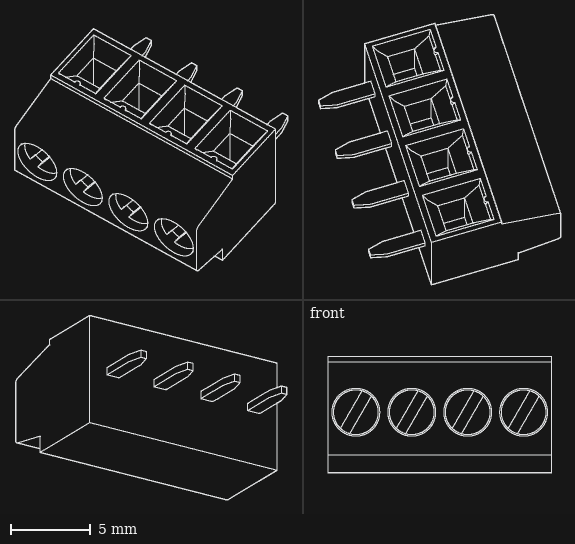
import cadquery as cq
import math


pole_count = 4
body_length = 14.0
pole_pitch = body_length / pole_count
pole_positions = [(i - (pole_count - 1) / 2) * pole_pitch for i in range(pole_count)]

body_depth = 8.5
body_height = 7.3
top_depth = 4.62
top_step = 0.35
top_slope = 15.0
base_depth = 5.71
base_step = 1.1
base_slope = 10.0
nose_radius = 0.3

axis_height = 3.8

mouth_width = 2.88
mouth_length = 3.8
lip_depth = 0.45
funnel_depth = 1.06
wire_hole = 1.76
wire_hole_back = 0.83
lip_inset_back = 0.27
lip_inset_front = 0.15
rib_radius = 0.2

screw_bore_diameter = 3.0
screw_head_diameter = 2.8
head_setback = 0.6
slot_width = 0.67
slot_depth = 0.5
head_height = 0.7
slot_tilt = 30.0

pin_width = 0.9
pin_thickness = 0.49
pin_length = 3.5
pin_tip_width = 0.4
pin_taper = 1.0

mouth_back = -(top_depth - mouth_length) / 2
mouth_front = mouth_back - mouth_length
wire_hole_rear = mouth_back - wire_hole_back
wire_hole_front = wire_hole_rear - wire_hole
wire_floor = axis_height - wire_hole / 2


def make_housing():
    """Side profile extruded along the row, with rounded front corners."""
    nose_top = body_height - top_step - (body_depth - top_depth) * math.tan(math.radians(top_slope))
    nose_bottom = base_step + (body_depth - base_depth) * math.tan(math.radians(base_slope))
    profile = [
        (0, 0),
        (0, body_height),
        (-top_depth, body_height),
        (-top_depth, body_height - top_step),
        (-body_depth, nose_top),
        (-body_depth, nose_bottom),
        (-base_depth, base_step),
        (-base_depth, 0),
    ]
    housing = cq.Workplane("YZ").polyline(profile).close().extrude(body_length)
    housing = housing.translate((-body_length / 2, 0, 0))
    return housing.faces("<Y").edges("|X").fillet(nose_radius)


def tapered_well(width_top, back_top, front_top, z_top, width_low, back_low, front_low, z_low):
    """Four-sided well between two horizontal rectangles centred on X = 0."""
    return (
        cq.Workplane("XY", origin=(0, (back_low + front_low) / 2, z_low))
        .rect(width_low, back_low - front_low)
        .workplane(offset=z_top - z_low)
        .center(0, (back_top + front_top - back_low - front_low) / 2)
        .rect(width_top, back_top - front_top)
        .loft(ruled=True)
    )


def make_wire_entry():
    """Two-stage funnel narrowing to a square hole, with a half-round rib on its front wall."""
    lip_z = body_height - lip_depth
    funnel_z = body_height - funnel_depth
    lip_width = mouth_width - (mouth_width - wire_hole) * lip_depth / funnel_depth
    lip_back = mouth_back - lip_inset_back
    lip_front = mouth_front + lip_inset_front
    lip = tapered_well(
        mouth_width, mouth_back, mouth_front, body_height, lip_width, lip_back, lip_front, lip_z
    )
    funnel = tapered_well(
        lip_width, lip_back, lip_front, lip_z, wire_hole, wire_hole_rear, wire_hole_front, funnel_z
    )
    hole = cq.Workplane("XY").box(wire_hole, wire_hole, funnel_z - wire_floor, centered=(True, False, False))
    hole = hole.translate((0, wire_hole_front, wire_floor))
    rib = cq.Workplane("XY", origin=(0, mouth_front, funnel_z)).circle(rib_radius).extrude(funnel_depth)
    return lip.union(funnel).cut(rib).union(hole)


def make_screw_recess():
    """Round recess with the slotted screw head standing inside it, clear of the wall."""
    recess_plane = cq.Workplane("XZ", origin=(0, -body_depth, axis_height))
    recess = recess_plane.circle(screw_bore_diameter / 2).extrude(-(head_setback + head_height))
    head_plane = recess_plane.workplane(offset=-head_setback)
    head = head_plane.circle(screw_head_diameter / 2).extrude(-head_height)
    slot = head_plane.rect(slot_width, screw_head_diameter).extrude(-slot_depth)
    slot = slot.rotate((0, 0, axis_height), (0, 1, axis_height), slot_tilt)
    return recess.cut(head.cut(slot))


def make_pin():
    """Flat pin tapering to a blunt tip."""
    outline = [
        (-pin_width / 2, 0),
        (-pin_width / 2, pin_length - pin_taper),
        (-pin_tip_width / 2, pin_length),
        (pin_tip_width / 2, pin_length),
        (pin_width / 2, pin_length - pin_taper),
        (pin_width / 2, 0),
    ]
    pin_bottom = axis_height - pin_thickness / 2
    return cq.Workplane("XY", origin=(0, 0, pin_bottom)).polyline(outline).close().extrude(pin_thickness)


result = make_housing()
wire_entry = make_wire_entry()
screw_recess = make_screw_recess()
pin = make_pin()
for x in pole_positions:
    result = result.cut(wire_entry.translate((x, 0, 0)))
    result = result.cut(screw_recess.translate((x, 0, 0)))
    result = result.union(pin.translate((x, 0, 0)))